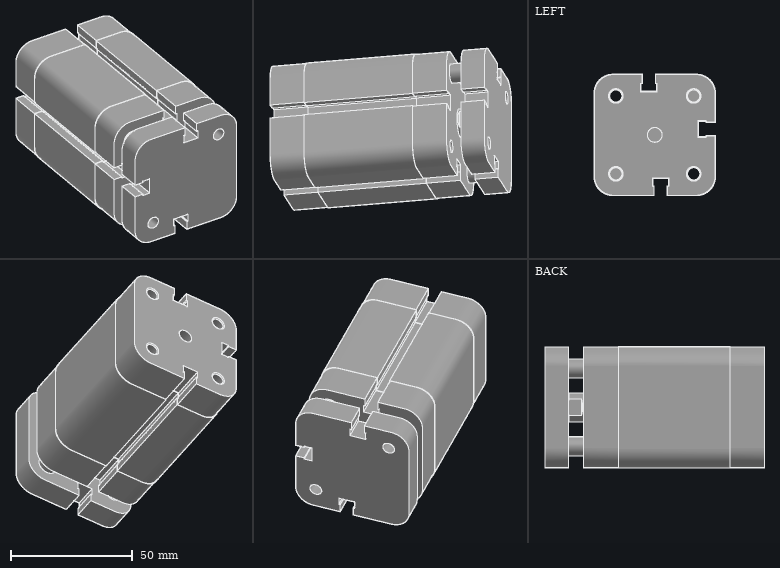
import cadquery as cq

total_length = 90.5
cap_length = 14.4
barrel_length = 45.8
plate_thickness = 9.9
housing_length = 2 * cap_length + barrel_length
plate_start = total_length - plate_thickness

section_width = 50.0
end_part_inset = 0.1
end_part_width = section_width - 2 * end_part_inset
cap_corner_radius = 8.05
barrel_corner_radius = 7.8
plate_corner_radius = 7.8

slot_offset = 2.4
slot_mouth_depth = 3.9
slot_angles = [0, 90, 180]
end_slot_mouth_width = 5.7
end_slot_inner_width = 6.9
end_slot_depth = 7.2
barrel_slot_mouth_width = 5.3
barrel_slot_inner_width = 6.3
barrel_slot_depth = 7.0

corner_pitch = 32.0
corner = corner_pitch / 2
through_positions = [(corner, corner), (-corner, -corner)]
guide_positions = [(-corner, corner), (corner, -corner)]
hole_diameter = 5.1
hole_mouth_diameter = 6.0
hole_mouth_chamfer = (hole_mouth_diameter - hole_diameter) / 2
center_hole_diameter = 6.1
center_hole_depth = cap_length
guide_diameter = 8.0
guide_start = cap_length

rod_diameter = 12.0
rod_start = housing_length - cap_length
rod_flat_width = 10.0
rod_flat_setback = 0.9
rod_flat_start = housing_length + rod_flat_setback
rod_flat_runout = 0.5
rod_end_chamfer = 0.2


def cylinder(diameter, x_start, x_end, position=(0, 0)):
    """Round bar along X at a (y, z) position."""
    return (
        cq.Workplane("YZ", origin=(x_start, 0, 0))
        .center(*position)
        .circle(diameter / 2)
        .extrude(x_end - x_start)
    )


def slotted_block(x_start, length, width, corner_radius, mouth_width, inner_width, depth):
    """Rounded square bar along X with three T-slots."""
    plane = cq.Workplane("YZ", origin=(x_start, 0, 0))
    block = plane.rect(width, width).extrude(length).edges("|X").fillet(corner_radius)
    outer_face = section_width / 2
    mouth = plane.center(slot_offset, outer_face - depth / 2).rect(mouth_width, depth).extrude(length)
    inner_height = depth - slot_mouth_depth
    inner = (
        plane.center(slot_offset, outer_face - depth + inner_height / 2)
        .rect(inner_width, inner_height)
        .extrude(length)
    )
    slot = mouth.union(inner)
    for angle in slot_angles:
        block = block.cut(slot.rotate((0, 0, 0), (1, 0, 0), angle))
    return block


def make_cap(x_start):
    """End cap section of the housing."""
    return slotted_block(
        x_start, cap_length, end_part_width, cap_corner_radius,
        end_slot_mouth_width, end_slot_inner_width, end_slot_depth,
    )


def make_housing():
    """Rear cap, barrel and front cap in one solid, with mounting holes and rod bores."""
    barrel = slotted_block(
        cap_length, barrel_length, section_width, barrel_corner_radius,
        barrel_slot_mouth_width, barrel_slot_inner_width, barrel_slot_depth,
    )
    housing = make_cap(0).union(barrel).union(make_cap(cap_length + barrel_length))

    for position in through_positions:
        housing = housing.cut(cylinder(hole_diameter, 0, housing_length, position))
    for position in guide_positions:
        housing = housing.cut(cylinder(hole_diameter, 0, guide_start, position))
        housing = housing.cut(cylinder(guide_diameter, guide_start, housing_length, position))
    for y, z in through_positions + guide_positions:
        mouth = cq.Solid.makeCone(
            hole_mouth_diameter / 2, hole_diameter / 2, hole_mouth_chamfer,
            pnt=cq.Vector(0, y, z), dir=cq.Vector(1, 0, 0),
        )
        housing = housing.cut(cq.Workplane(mouth))

    housing = housing.cut(cylinder(center_hole_diameter, 0, center_hole_depth))
    return housing.cut(cylinder(rod_diameter, rod_start, housing_length))


def make_piston_rod():
    """Centre rod with two wrench flats, butting against the plate."""
    rod = cylinder(rod_diameter, rod_start, plate_start).faces(">X").chamfer(rod_end_chamfer)
    flat_y = rod_flat_width / 2
    rod_radius = rod_diameter / 2
    flat_cut = (
        cq.Workplane("XY")
        .moveTo(plate_start, flat_y)
        .lineTo(rod_flat_start, flat_y)
        .lineTo(rod_flat_start - rod_flat_runout, rod_radius)
        .lineTo(plate_start, rod_radius)
        .close()
        .extrude(rod_radius, both=True)
    )
    return rod.cut(flat_cut).cut(flat_cut.mirror("XZ"))


def make_guide_rod(position):
    """Plain round guide bar between the rear cap and the plate."""
    return cylinder(guide_diameter, guide_start, plate_start, position)


def make_plate():
    """Slotted yoke plate in front of the housing."""
    plate = slotted_block(
        plate_start, plate_thickness, end_part_width, plate_corner_radius,
        end_slot_mouth_width, end_slot_inner_width, end_slot_depth,
    )
    for position in through_positions:
        plate = plate.cut(cylinder(hole_diameter, plate_start, total_length, position))
    return plate


housing = make_housing()
piston_rod = make_piston_rod()
guide_rods = [make_guide_rod(position) for position in guide_positions]
plate = make_plate()

result = cq.Compound.makeCompound([
    housing.val(),
    piston_rod.val(),
    *[guide_rod.val() for guide_rod in guide_rods],
    plate.val(),
])